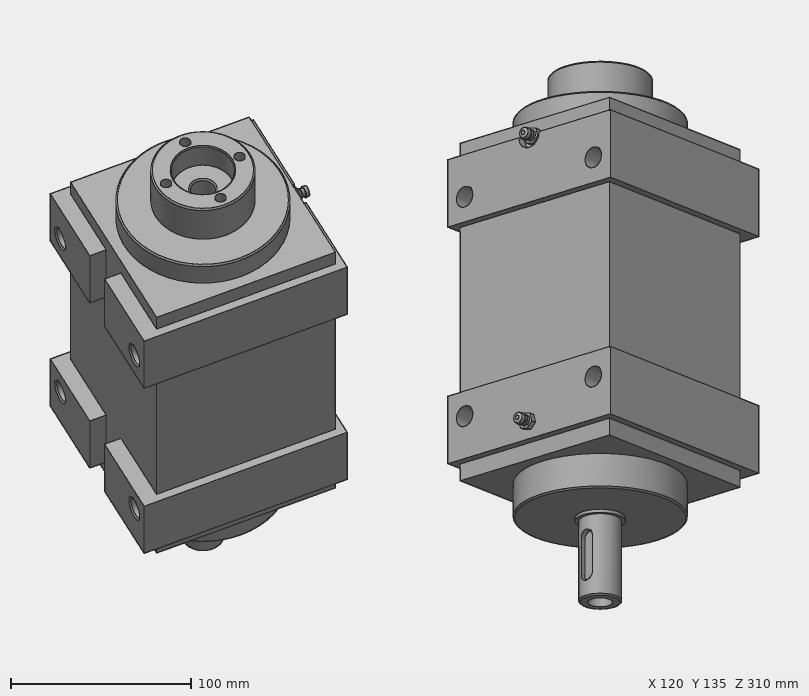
import cadquery as cq

TOTAL_HEIGHT = 310.0
BLOCK_HEIGHT = 200.0
LOWER_FLANGE_HEIGHT = 20.0
UPPER_FLANGE_HEIGHT = 15.0
NOSE_HEIGHT = 25.0
COLLAR_HEIGHT = 2.0
NOSE_BOTTOM = TOTAL_HEIGHT - NOSE_HEIGHT
BLOCK_TOP = NOSE_BOTTOM - UPPER_FLANGE_HEIGHT
BLOCK_BOTTOM = BLOCK_TOP - BLOCK_HEIGHT
FLANGE_BOTTOM = BLOCK_BOTTOM - LOWER_FLANGE_HEIGHT
SHAFT_TOP = FLANGE_BOTTOM - COLLAR_HEIGHT

BLOCK_WIDTH = 110.0
BLOCK_BACK = BLOCK_WIDTH / 2
FOOT_WIDTH = 120.0
FOOT_HEIGHT = 40.0
FOOT_INSET = 10.0
FOOT_FRONT = -65.0
FOOT_BACK = FOOT_WIDTH / 2
FOOT_GAP = 19.0
UPPER_FOOT_TOP = BLOCK_TOP - FOOT_INSET
FOOT_BOTTOMS = (BLOCK_BOTTOM + FOOT_INSET, UPPER_FOOT_TOP - FOOT_HEIGHT)

MOUNT_HOLE_DIAMETER = 12.0
MOUNT_HOLE_CHAMFER = 1.0
MOUNT_SPACING_X = 95.0
MOUNT_SPACING_Z = 130.0

FLANGE_DIAMETER = 96.7
NOSE_DIAMETER = 58.0
COLLAR_DIAMETER = 28.0
SHAFT_DIAMETER = 24.0
EDGE_CHAMFER = 1.0

BORE_DIAMETER = 35.0
BORE_DEPTH = 16.0
BORE_CHAMFER = 0.5
THROUGH_DIAMETER = 14.0
THROUGH_CHAMFER = 1.0
FACE_HOLE_COUNT = 4
FACE_HOLE_DIAMETER = 6.2
FACE_HOLE_DEPTH = 12.5
FACE_HOLE_TIP = 2.0
FACE_HOLE_CIRCLE = 45.3

KEYWAY_WIDTH = 8.0
KEYWAY_DEPTH = 3.7
KEYWAY_BOTTOM = 10.0
KEYWAY_TOP = 40.0

NIPPLE_LENGTH = 10.0
NIPPLE_HEX_FLATS = 8.7
NIPPLE_HEX_HEIGHT = 3.0
NIPPLE_HEX_TURN = 15
NIPPLE_COLLAR_RADIUS = 3.0
NIPPLE_COLLAR_END = 4.5
NIPPLE_NECK_RADIUS = 2.5
NIPPLE_NECK_START = 5.3
NIPPLE_HEAD_START = 7.0
NIPPLE_HEAD_RADIUS = 3.5
NIPPLE_SHOULDER_RADIUS = 3.0
NIPPLE_SHOULDER = 9.3
NIPPLE_TIP_RADIUS = 1.2
HEX_CORNER_RATIO = 2 / 3 ** 0.5
SPOTFACE_DIAMETER = 15.0
LOWER_NIPPLE_Z = BLOCK_BOTTOM + 2 * FOOT_INSET
UPPER_NIPPLE_Z = UPPER_FOOT_TOP


def disc(diameter, bottom, top):
    """Cylinder on the Z axis between two heights."""
    return cq.Workplane().workplane(offset=bottom).circle(diameter / 2).extrude(top - bottom)


def slab(x_limits, y_limits, z_limits):
    """Axis-aligned box between pairs of limits."""
    (x0, x1), (y0, y1), (z0, z1) = x_limits, y_limits, z_limits
    return cq.Workplane().box(x1 - x0, y1 - y0, z1 - z0, centered=False).translate((x0, y0, z0))


def rear_plane(y, z):
    """Workplane facing +Y, centred on the YZ plane."""
    return cq.Workplane(cq.Plane(origin=(0, y, z), xDir=(1, 0, 0), normal=(0, 1, 0)))


def make_foot(bottom):
    """Band around the block, split into two pads on its front."""
    z_limits = (bottom, bottom + FOOT_HEIGHT)
    band = slab((-FOOT_WIDTH / 2, FOOT_WIDTH / 2), (FOOT_FRONT, FOOT_BACK), z_limits)
    gap = slab((-FOOT_GAP / 2, FOOT_GAP / 2), (FOOT_FRONT, -BLOCK_WIDTH / 2), z_limits)
    return band.cut(gap)


def make_mount_hole(x, z):
    """Through hole along Y with a chamfered mouth on the front face."""
    radius = MOUNT_HOLE_DIAMETER / 2
    mouth_radius = radius + MOUNT_HOLE_CHAMFER
    profile = [
        (0, FOOT_FRONT),
        (mouth_radius, FOOT_FRONT),
        (radius, FOOT_FRONT + MOUNT_HOLE_CHAMFER),
        (radius, FOOT_BACK),
        (0, FOOT_BACK),
    ]
    return cq.Workplane().polyline(profile).close().revolve(360, (0, 0), (0, 1)).translate((x, 0, z))


def make_spindle_bore():
    """Stepped bore: wide socket in the nose, narrow hole through to the shaft tip."""
    floor = TOTAL_HEIGHT - BORE_DEPTH
    bore_radius = BORE_DIAMETER / 2
    through_radius = THROUGH_DIAMETER / 2
    profile = [
        (0, 0),
        (through_radius, 0),
        (through_radius, floor - THROUGH_CHAMFER),
        (through_radius + THROUGH_CHAMFER, floor),
        (bore_radius, floor),
        (bore_radius, TOTAL_HEIGHT - BORE_CHAMFER),
        (bore_radius + BORE_CHAMFER, TOTAL_HEIGHT),
        (0, TOTAL_HEIGHT),
    ]
    return cq.Workplane("XZ").polyline(profile).close().revolve(360, (0, 0), (0, 1))


def make_face_holes():
    """Ring of blind drilled holes in the nose face."""
    radius = FACE_HOLE_DIAMETER / 2
    wall_bottom = TOTAL_HEIGHT - FACE_HOLE_DEPTH
    profile = [
        (0, wall_bottom - FACE_HOLE_TIP),
        (radius, wall_bottom),
        (radius, TOTAL_HEIGHT),
        (0, TOTAL_HEIGHT),
    ]
    drill = cq.Workplane("XZ").polyline(profile).close().revolve(360, (0, 0), (0, 1))
    drill = drill.translate((FACE_HOLE_CIRCLE / 2, 0, 0))
    holes = cq.Workplane()
    for index in range(FACE_HOLE_COUNT):
        holes = holes.add(drill.rotate((0, 0, 0), (0, 0, 1), index * 360 / FACE_HOLE_COUNT))
    return holes.combine()


def make_keyway():
    """Round-ended slot cut into the +Y side of the shaft."""
    length = KEYWAY_TOP - KEYWAY_BOTTOM
    middle = (KEYWAY_TOP + KEYWAY_BOTTOM) / 2
    floor = SHAFT_DIAMETER / 2 - KEYWAY_DEPTH
    return rear_plane(floor, middle).slot2D(length, KEYWAY_WIDTH, 90).extrude(SHAFT_DIAMETER / 2)


def make_housing():
    """Spindle unit: block, feet, flanges, nose and shaft."""
    half_block = (-BLOCK_WIDTH / 2, BLOCK_WIDTH / 2)
    housing = slab(half_block, half_block, (BLOCK_BOTTOM, BLOCK_TOP))
    for bottom in FOOT_BOTTOMS:
        housing = housing.union(make_foot(bottom))

    upper_flange = disc(FLANGE_DIAMETER, BLOCK_TOP, NOSE_BOTTOM).faces(">Z").chamfer(EDGE_CHAMFER)
    nose = disc(NOSE_DIAMETER, NOSE_BOTTOM, TOTAL_HEIGHT).faces(">Z").chamfer(EDGE_CHAMFER)
    lower_flange = disc(FLANGE_DIAMETER, FLANGE_BOTTOM, BLOCK_BOTTOM).faces("<Z").chamfer(EDGE_CHAMFER)
    collar = disc(COLLAR_DIAMETER, SHAFT_TOP, FLANGE_BOTTOM)
    shaft = disc(SHAFT_DIAMETER, 0, SHAFT_TOP).faces("<Z").chamfer(EDGE_CHAMFER)
    for turned in (upper_flange, nose, lower_flange, collar, shaft):
        housing = housing.union(turned)

    housing = housing.cut(make_spindle_bore()).cut(make_face_holes()).cut(make_keyway())

    mount_middle = (BLOCK_TOP + BLOCK_BOTTOM) / 2
    for x in (-MOUNT_SPACING_X / 2, MOUNT_SPACING_X / 2):
        for z_offset in (-MOUNT_SPACING_Z / 2, MOUNT_SPACING_Z / 2):
            housing = housing.cut(make_mount_hole(x, mount_middle + z_offset))

    spotface = rear_plane(BLOCK_BACK, UPPER_NIPPLE_Z).circle(SPOTFACE_DIAMETER / 2)
    return housing.cut(spotface.extrude(FOOT_BACK - BLOCK_BACK))


def make_nipple(base_y, z):
    """Grease nipple pointing along +Y: hexagon, collar, waisted neck and tapered head."""
    hexagon = rear_plane(0, 0).polygon(6, NIPPLE_HEX_FLATS * HEX_CORNER_RATIO).extrude(NIPPLE_HEX_HEIGHT)
    hexagon = hexagon.rotate((0, 0, 0), (0, 1, 0), -NIPPLE_HEX_TURN)
    profile = [
        (0, 0),
        (NIPPLE_COLLAR_RADIUS, 0),
        (NIPPLE_COLLAR_RADIUS, NIPPLE_COLLAR_END),
        (NIPPLE_NECK_RADIUS, NIPPLE_NECK_START),
        (NIPPLE_NECK_RADIUS, NIPPLE_HEAD_START),
        (NIPPLE_HEAD_RADIUS, NIPPLE_HEAD_START),
        (NIPPLE_SHOULDER_RADIUS, NIPPLE_SHOULDER),
        (NIPPLE_TIP_RADIUS, NIPPLE_LENGTH),
        (0, NIPPLE_LENGTH),
    ]
    stem = cq.Workplane().polyline(profile).close().revolve(360, (0, 0), (0, 1))
    return hexagon.union(stem).translate((0, base_y, z))


housing = make_housing()

nipple_seats = ((FOOT_BACK, LOWER_NIPPLE_Z), (BLOCK_BACK, UPPER_NIPPLE_Z))
nipples = [make_nipple(base_y, z) for base_y, z in nipple_seats]

result = cq.Compound.makeCompound([housing.val(), *[nipple.val() for nipple in nipples]])